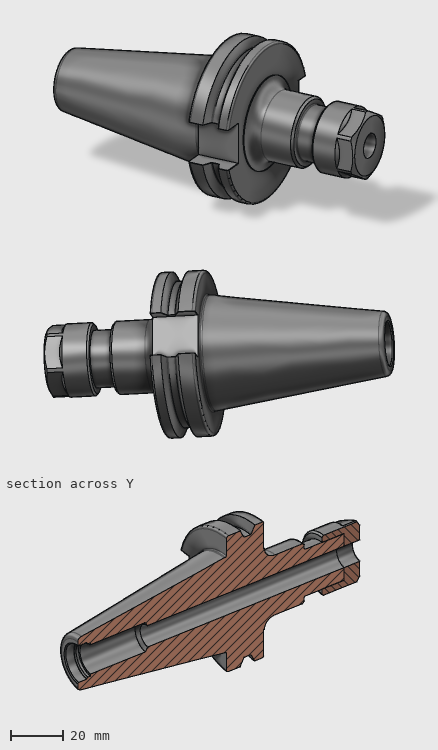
import cadquery as cq
import math


taper_end = 68.2
flange_start = 69.4
flange_end = 87.0
boss_end = 87.4
body_end = 105.9
nut_start = 114.0
nut_shoulder = 124.4
nut_end = 131.8

tolerance = 0.001

gauge_diameter = 44.4
taper_half_angle = math.atan(7 / 48)
taper_tip_radius = gauge_diameter / 2 - taper_end * math.tan(taper_half_angle)
tip_fillet = 2.0
neck_fillet = 0.5

flange_diameter = 63.4
flange_front_fillet = 1.0
flange_rear_fillet = 0.8
groove_depth = 3.7
groove_center = 79.3
groove_floor_width = 3.2
groove_mouth_width = 6.7
groove_floor_fillet = 0.4
slot_width = 16.5
slot_edge_chamfer = 0.1
slot_floor_front = 22.4
slot_floor_back = 24.8

body_diameter = 28.0
body_fillet = 4.7
body_chamfer = 0.9
nose_diameter = 22.0
nose_root_fillet = 0.4

mouth_diameter = 17.7
pilot_diameter = 16.7
pilot_end = 4.2
collar_mouth_diameter = 16.3
collar_diameter = 15.3
collar_end = 5.9
thread_bore_diameter = 13.5
thread_bore_end = 31.6
through_diameter = 9.7

drill_half_angle = 60
lead_in_half_angle = 45

nut_diameter = 28.0
nut_rear_chamfer = 0.8
nut_face_diameter = 23.6
nut_face_chamfer = 1.3
hex_sides = 6
hex_across_flats = 25.0
shoulder_run = 1.2


def revolve_about_x(profile):
    """Solid of revolution about X from a closed XY profile."""
    return profile.close().revolve(360, (0, 0, 0), (1, 0, 0))


def fillet_circle(solid, x, diameter, fillet):
    """Fillet the circular edge of the given diameter that lies at x on the axis."""
    circles = [
        edge
        for edge in solid.edges("%CIRCLE").vals()
        if abs(edge.Center().x - x) < tolerance and abs(edge.radius() - diameter / 2) < tolerance
    ]
    return solid.newObject(circles).fillet(fillet)


def cone_run(large_diameter, small_diameter, half_angle):
    """Axial length of a cone between two diameters."""
    return (large_diameter - small_diameter) / 2 / math.tan(math.radians(half_angle))


def make_shank():
    shank = revolve_about_x(
        cq.Workplane("XY")
        .lineTo(0, taper_tip_radius)
        .lineTo(taper_end, gauge_diameter / 2)
        .lineTo(flange_start, gauge_diameter / 2)
        .lineTo(flange_start, 0)
    )
    return shank.faces("<X").edges().fillet(tip_fillet)


def make_flange():
    flange = (
        cq.Workplane("YZ", origin=(flange_start, 0, 0))
        .circle(flange_diameter / 2)
        .extrude(flange_end - flange_start)
        .faces("<X")
        .edges()
        .fillet(flange_front_fillet)
        .faces(">X")
        .edges()
        .fillet(flange_rear_fillet)
    )
    flange = flange.cut(make_gripper_groove()).cut(make_drive_slots())
    rim_edges = [edge for edge in flange.faces("+Z or -Z").edges().vals() if not is_on_slot_floor(edge)]
    return flange.newObject(rim_edges).chamfer(slot_edge_chamfer)


def is_on_slot_floor(edge):
    """True for the edges along a slot floor, which lies at a constant Y."""
    box = edge.BoundingBox()
    return any(
        math.isclose(box.ymin, y, abs_tol=tolerance) and math.isclose(box.ymax, y, abs_tol=tolerance)
        for y in (-slot_floor_front, slot_floor_back)
    )


def make_gripper_groove():
    rim_radius = flange_diameter / 2
    half_floor = groove_floor_width / 2
    half_mouth = groove_mouth_width / 2
    groove = revolve_about_x(
        cq.Workplane("XY")
        .moveTo(groove_center - half_mouth, rim_radius)
        .lineTo(groove_center - half_floor, rim_radius - groove_depth)
        .lineTo(groove_center + half_floor, rim_radius - groove_depth)
        .lineTo(groove_center + half_mouth, rim_radius)
    )
    floor_circles = groove.edges("%CIRCLE").edges(cq.selectors.RadiusNthSelector(0))
    return floor_circles.fillet(groove_floor_fillet)


def make_drive_slots():
    slot_stock = cq.Workplane("XY").box(
        flange_end - flange_start, flange_diameter, slot_width, centered=(False, False, True)
    )
    front_slot = slot_stock.translate((flange_start, -slot_floor_front - flange_diameter, 0))
    back_slot = slot_stock.translate((flange_start, slot_floor_back, 0))
    return front_slot.add(back_slot).combine()


def make_body():
    radius = body_diameter / 2
    arc_mid_offset = body_fillet * (1 - math.sqrt(0.5))
    return revolve_about_x(
        cq.Workplane("XY")
        .moveTo(flange_end, 0)
        .lineTo(flange_end, radius + body_fillet)
        .lineTo(boss_end, radius + body_fillet)
        .threePointArc((boss_end + arc_mid_offset, radius + arc_mid_offset), (boss_end + body_fillet, radius))
        .lineTo(body_end - body_chamfer, radius)
        .lineTo(body_end, radius - body_chamfer)
        .lineTo(body_end, 0)
    )


def make_nose():
    return (
        cq.Workplane("YZ", origin=(body_end, 0, 0))
        .circle(nose_diameter / 2)
        .extrude(nut_shoulder - body_end)
    )


def make_bore():
    mouth_run = cone_run(mouth_diameter, pilot_diameter, lead_in_half_angle)
    collar_run = cone_run(collar_mouth_diameter, collar_diameter, lead_in_half_angle)
    drill_run = cone_run(thread_bore_diameter, through_diameter, drill_half_angle)
    return revolve_about_x(
        cq.Workplane("XY")
        .lineTo(0, mouth_diameter / 2)
        .lineTo(mouth_run, pilot_diameter / 2)
        .lineTo(pilot_end, pilot_diameter / 2)
        .lineTo(pilot_end, collar_mouth_diameter / 2)
        .lineTo(pilot_end + collar_run, collar_diameter / 2)
        .lineTo(collar_end, collar_diameter / 2)
        .lineTo(collar_end, thread_bore_diameter / 2)
        .lineTo(thread_bore_end, thread_bore_diameter / 2)
        .lineTo(thread_bore_end + drill_run, through_diameter / 2)
        .lineTo(nut_end, through_diameter / 2)
        .lineTo(nut_end, 0)
    )


def make_holder():
    front = make_shank().union(make_flange())
    front = fillet_circle(front, flange_start, gauge_diameter, neck_fillet)
    back = make_body().union(make_nose())
    back = fillet_circle(back, body_end, nose_diameter, nose_root_fillet)
    return front.union(back).cut(make_bore())


def make_nut_blank():
    radius = nut_diameter / 2
    return revolve_about_x(
        cq.Workplane("XY")
        .moveTo(nut_start, 0)
        .lineTo(nut_start, radius - nut_rear_chamfer)
        .lineTo(nut_start + nut_rear_chamfer, radius)
        .lineTo(nut_end - nut_face_chamfer, radius)
        .lineTo(nut_end, nut_face_diameter / 2)
        .lineTo(nut_end, 0)
    )


def make_hex_envelope():
    """Hexagonal prism joined to the cylinder by a conical shoulder; the nut lies inside it."""
    radius = nut_diameter / 2
    half_sector = 180 / hex_sides
    apothem = hex_across_flats / 2
    hexagon = (
        cq.Workplane("YZ", origin=(nut_start, 0, 0))
        .transformed(rotate=(0, 0, half_sector))
        .polygon(hex_sides, hex_across_flats / math.cos(math.radians(half_sector)))
        .extrude(nut_end - nut_start)
    )
    shoulder = revolve_about_x(
        cq.Workplane("XY")
        .moveTo(nut_start, 0)
        .lineTo(nut_start, radius)
        .lineTo(nut_shoulder, radius)
        .lineTo(nut_shoulder + shoulder_run, apothem)
        .lineTo(nut_shoulder + shoulder_run, 0)
    )
    return hexagon.union(shoulder)


def make_nut():
    return make_nut_blank().intersect(make_hex_envelope()).cut(make_nose()).cut(make_bore())


holder = make_holder()
nut = make_nut()

result = cq.Compound.makeCompound([holder.val(), nut.val()])